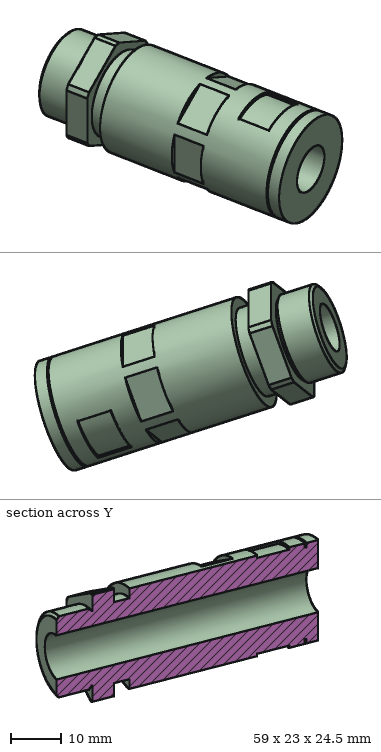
import cadquery as cq

length = 59.0
bore_diameter = 10.0

thread_diameter = 18.6
thread_chamfer_length = 0.55
thread_chamfer_depth = 0.7
thread_run_out_start = 7.3

collar_start = 8.0
collar_end = 13.0
collar_across_flats = 21.85
collar_corner_diameter = 24.5

body_start = 16.4
body_diameter = 23.0

flats_start = 33.45
flats_end = 40.35
flats_across = 21.0

recess_start = 45.25
recess_end = 52.45
recess_width = 10.5
recess_depth = 0.55

groove_start = 56.0
groove_end = 56.35
groove_diameter = 21.0


def cylinder(start, end, diameter):
    """Cylinder on the X axis between two X positions."""
    return cq.Workplane("YZ", origin=(start, 0, 0)).circle(diameter / 2).extrude(end - start)


def ring(start, end, outer_diameter, inner_diameter):
    """Concentric sleeve on the X axis."""
    return cylinder(start, end, outer_diameter).cut(cylinder(start, end, inner_diameter))


def hexagon(start, end, across_flats):
    """Hexagonal prism on the X axis with one pair of flats facing -Y and +Y."""
    return (
        cq.Workplane("YZ", origin=(start, 0, 0))
        .polygon(6, across_flats, circumscribed=True)
        .extrude(end - start)
    )


def threaded_end():
    """Spigot chamfered at its tip and at the thread run-out before the collar."""
    radius = thread_diameter / 2
    root_radius = radius - thread_chamfer_depth
    profile = [
        (0, 0),
        (0, root_radius),
        (thread_chamfer_length, radius),
        (thread_run_out_start, radius),
        (collar_start, root_radius),
        (collar_start, 0),
    ]
    return cq.Workplane("XY").polyline(profile).close().revolve(360, (0, 0, 0), (1, 0, 0))


def collar():
    corner_limit = cylinder(collar_start, collar_end, collar_corner_diameter)
    return hexagon(collar_start, collar_end, collar_across_flats).intersect(corner_limit)


def wrench_flat_cutter():
    """Material of the body lying outside the wrench hexagon."""
    hex_core = hexagon(flats_start, flats_end, flats_across)
    return cylinder(flats_start, flats_end, body_diameter).cut(hex_core)


def recess_cutter():
    """Sleeve trimmed to the recess width, leaving a segment at the top and the bottom."""
    sleeve = ring(recess_start, recess_end, body_diameter, body_diameter - 2 * recess_depth)
    recess_length = recess_end - recess_start
    band = cq.Workplane("XY").box(recess_length, recess_width, body_diameter)
    recess_center = (recess_start + recess_end) / 2
    return sleeve.intersect(band.translate((recess_center, 0, 0)))


neck = cylinder(collar_end, body_start, thread_diameter)

body = (
    cylinder(body_start, length, body_diameter)
    .cut(wrench_flat_cutter())
    .cut(recess_cutter())
    .cut(ring(groove_start, groove_end, body_diameter, groove_diameter))
)

result = (
    threaded_end()
    .union(collar())
    .union(neck)
    .union(body)
    .cut(cylinder(0, length, bore_diameter))
)